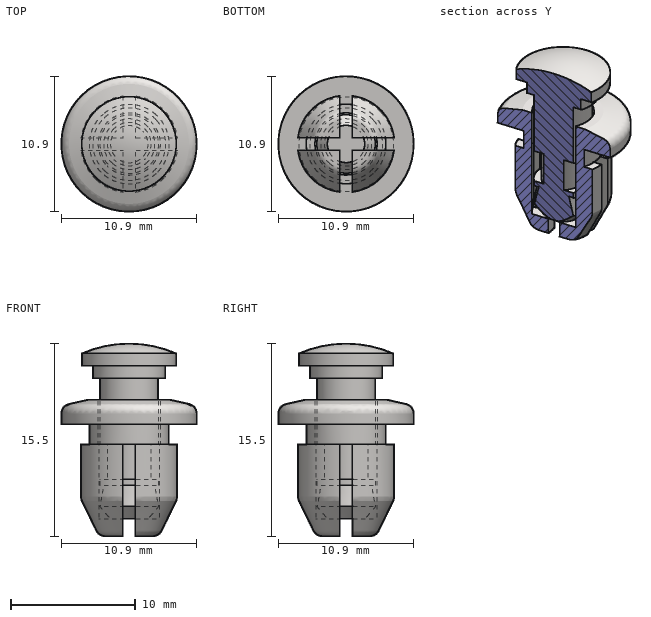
import cadquery as cq
import math


flange_radius = 5.45
flange_thickness = 2.0
flange_edge_height = 1.5
flange_rim_fillet = 0.8
crown_flat_radius = 3.25
bore_radius = 2.5
neck_radius = 3.2
neck_length = 1.6
leg_radius = 3.9
leg_tip_radius = 2.45
leg_bottom = -9.0
leg_taper_start = -6.0
leg_fillet = 0.8
slot_width = 1.0

head_radius = 3.8
head_bottom = 4.7
head_rim_height = 1.0
dome_height = 0.8
step_radius = 2.92
step_height = 1.0
shank_radius = 2.35
shank_bottom = -neck_length
stem_radius = 1.75
collar_radius = shank_radius
collar_top = -4.4
collar_bottom = -4.9
bulb_top_radius = 2.05
bulb_radius = shank_radius
bulb_widest = -6.6
pin_tip_radius = 1.5
pin_bottom = -7.6


def revolve_about_z(profile):
    """Turn a closed XZ outline into a full solid of revolution about the Z axis."""
    return profile.revolve(360, (0, 0, 0), (0, 1, 0))


def make_flange():
    """Flange with a shallow conical crown and a rounded upper rim."""
    profile = (
        cq.Workplane("XZ")
        .lineTo(flange_radius, 0)
        .lineTo(flange_radius, flange_edge_height)
        .lineTo(crown_flat_radius, flange_thickness)
        .lineTo(0, flange_thickness)
        .close()
    )
    flange = revolve_about_z(profile)
    rim_edge = flange.faces("%CONE").edges("%CIRCLE").edges("<Z")
    return rim_edge.fillet(flange_rim_fillet)


def make_slot_cross():
    """Two crossing slot blades that part the legs into four quarters."""
    slot_length = 2 * flange_radius
    slot_height = -neck_length - leg_bottom
    floor = cq.Workplane("XY", origin=(0, 0, leg_bottom))
    blade_along_x = floor.box(slot_length, slot_width, slot_height, centered=(True, True, False))
    blade_along_y = blade_along_x.rotate((0, 0, 0), (0, 0, 1), 90)
    return blade_along_x.union(blade_along_y)


def make_legs():
    """Tapered leg cylinder with rounded taper ends, slotted into four legs."""
    profile = (
        cq.Workplane("XZ")
        .moveTo(0, leg_bottom)
        .lineTo(leg_tip_radius, leg_bottom)
        .lineTo(leg_radius, leg_taper_start)
        .lineTo(leg_radius, -neck_length)
        .lineTo(0, -neck_length)
        .close()
    )
    blank = revolve_about_z(profile)
    rounded = blank.faces("%CONE").edges("%CIRCLE").fillet(leg_fillet)
    return rounded.cut(make_slot_cross())


def make_housing():
    neck = cq.Workplane("XY").circle(neck_radius).extrude(-neck_length)
    bore_depth = flange_thickness - pin_bottom
    bore = cq.Workplane("XY", origin=(0, 0, pin_bottom)).circle(bore_radius).extrude(bore_depth)
    return make_flange().union(neck).union(make_legs()).cut(bore)


def make_pin():
    """Turned pin whose end rests on the floor of the housing bore."""
    head_rim_top = head_bottom + head_rim_height
    step_bottom = head_bottom - step_height
    dome_top = head_rim_top + dome_height
    dome_sphere_radius = (head_radius**2 + dome_height**2) / (2 * dome_height)
    dome_mid_radius = head_radius / 2
    dome_mid_height = dome_top - dome_sphere_radius + math.sqrt(dome_sphere_radius**2 - dome_mid_radius**2)
    profile = (
        cq.Workplane("XZ")
        .moveTo(0, pin_bottom)
        .lineTo(pin_tip_radius, pin_bottom)
        .lineTo(bulb_radius, bulb_widest)
        .lineTo(bulb_top_radius, collar_bottom)
        .lineTo(collar_radius, collar_bottom)
        .lineTo(collar_radius, collar_top)
        .lineTo(stem_radius, collar_top)
        .lineTo(stem_radius, shank_bottom)
        .lineTo(shank_radius, shank_bottom)
        .lineTo(shank_radius, step_bottom)
        .lineTo(step_radius, step_bottom)
        .lineTo(step_radius, head_bottom)
        .lineTo(head_radius, head_bottom)
        .lineTo(head_radius, head_rim_top)
        .threePointArc((dome_mid_radius, dome_mid_height), (0, dome_top))
        .close()
    )
    return revolve_about_z(profile)


housing = make_housing()
pin = make_pin()
result = cq.Compound.makeCompound([housing.val(), pin.val()])